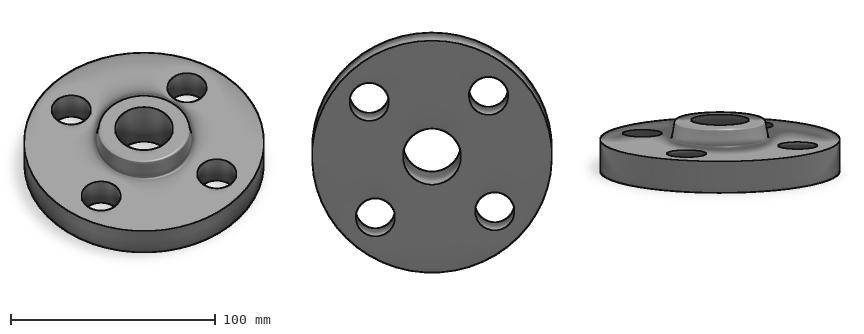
import cadquery as cq
import math

flange_diameter = 117.3
flange_thickness = 15.7
overall_height = 25.5

hub_base_diameter = 47.6
hub_taper_angle = 10.0
hub_foot_fillet = 1.5
hub_rim_fillet = 1.5

bore_diameter = 28.3
bolt_circle_diameter = 82.6
bolt_hole_diameter = 19.1
bolt_hole_count = 4


def make_body():
    """Revolve the disc and hub about Z, with the bottom face on Z = 0."""
    flange_radius = flange_diameter / 2
    hub_base_radius = hub_base_diameter / 2
    hub_height = overall_height - flange_thickness
    hub_top_radius = hub_base_radius - hub_height * math.tan(math.radians(hub_taper_angle))
    return (
        cq.Workplane("XZ")
        .moveTo(0, 0)
        .lineTo(flange_radius, 0)
        .lineTo(flange_radius, flange_thickness)
        .lineTo(hub_base_radius, flange_thickness)
        .lineTo(hub_top_radius, overall_height)
        .lineTo(0, overall_height)
        .close()
        .revolve(360, (0, 0, 0), (0, 1, 0))
    )


def round_hub(body):
    """Fillet the hub's outer top rim and the inside corner at its foot."""
    rounded_rim = body.faces(">Z").edges().fillet(hub_rim_fillet)
    disc_top_edges = rounded_rim.faces("+Z").faces("<Z").edges()
    foot_edge = disc_top_edges.edges(cq.selectors.RadiusNthSelector(0))
    return foot_edge.fillet(hub_foot_fillet)


def cut_holes(body):
    """Cut the central bore and the ring of bolt holes."""
    underside = cq.Workplane("XY")
    bore = underside.circle(bore_diameter / 2).extrude(overall_height)
    bolt_holes = (
        underside.polarArray(bolt_circle_diameter / 2, 0, 360, bolt_hole_count)
        .circle(bolt_hole_diameter / 2)
        .extrude(flange_thickness)
    )
    return body.cut(bore).cut(bolt_holes)


result = cut_holes(round_hub(make_body()))